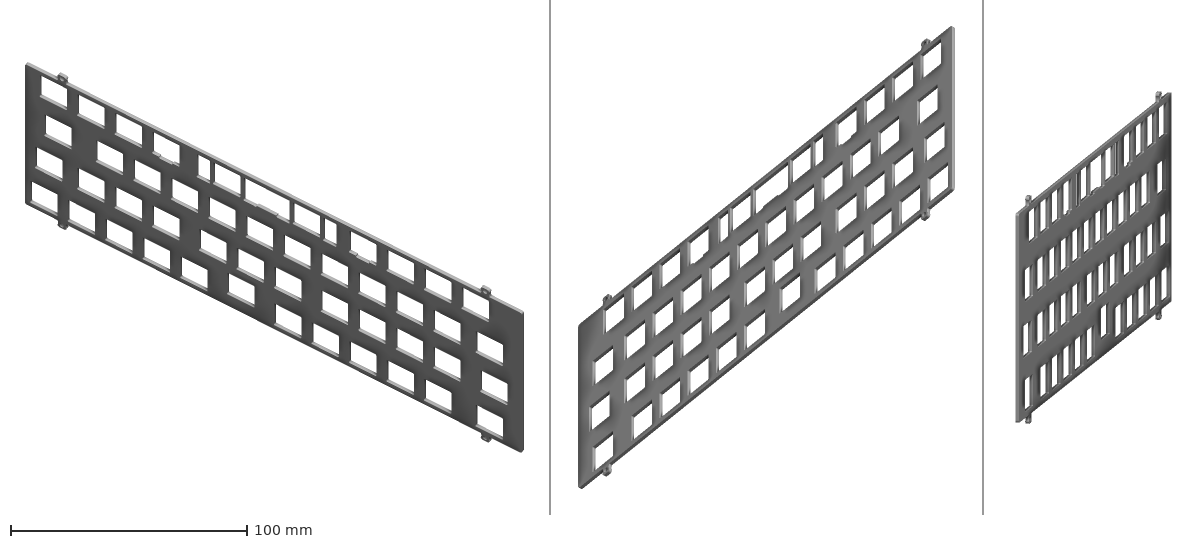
import cadquery as cq

plate_length = 252.5
overall_height = 98.5
thickness = 1.6
plate_corner_radius = 1.0

units_long = 13.25
units_high = 4.75
key_unit = plate_length / units_long
plate_height = units_high * key_unit

rib_width = 5.0
switch_size = key_unit - rib_width
switch_corner_radius = 0.5
stabilizer_width = 6.8
stabilizer_height = 15.0
stabilizer_corner_radius = 0.5

tab_height = (overall_height - plate_height) / 2
tab_width = 4.5
tab_waist_width = 3.8
tab_corner_radius = 1.3
tab_hole_diameter = 2.2
tab_hole_offset = 2.0
tab_overlap = 0.5
tab_inset = 18.7

top_row = 1.875
upper_row = 0.625
lower_row = -0.625
bottom_row = -1.875
raised_key_lift = 0.25
left_space_key = 5.375
long_space_key = 6.375
right_space_key = 7.5

row_keys = {
    top_row: [0.75, 1.75, 2.75, 3.75, 9, 10, 11, 12] + [left_space_key, long_space_key, right_space_key],
    upper_row: [0.875] + [2.25 + i for i in range(10)] + [12.375],
    lower_row: [0.625, 1.75, 2.75, 3.75, 5, 6, 7, 8.25, 9.25, 10.25, 11.25, 12.5],
    bottom_row: [0.5, 1.5, 2.5, 3.5, 4.5, 7, 8, 9, 10, 11, 12.375],
    bottom_row + raised_key_lift: [5.75],
}

short_bar_reach = 11.9
long_bar_reach = 2.625 * key_unit
stabilized_keys = [
    (left_space_key, short_bar_reach),
    (long_space_key, long_bar_reach),
    (right_space_key, short_bar_reach),
]


def grid_point(column, row):
    """Turn a key position in key units into plate coordinates."""
    return ((column - units_long / 2) * key_unit, row * key_unit)


def rounded_block(width, height, radius, centers):
    """Full-thickness blocks with rounded corners, centred on the given points."""
    return (
        cq.Workplane("XZ")
        .pushPoints(centers)
        .rect(width, height)
        .extrude(thickness / 2, both=True)
        .edges("|Y")
        .fillet(radius)
    )


def make_tab(x, side):
    """Perforated mounting tab on the top (side = 1) or bottom (side = -1) edge."""
    half = tab_width / 2
    half_waist = tab_waist_width / 2
    half_flat = half - tab_corner_radius
    root = plate_height / 2
    tip = root + tab_height
    shoulder = tip - tab_corner_radius
    waist = (root + shoulder) / 2
    outline = (
        cq.Workplane("XZ")
        .moveTo(-half, root - tab_overlap)
        .lineTo(-half, root)
        .threePointArc((-half_waist, waist), (-half, shoulder))
        .radiusArc((-half_flat, tip), tab_corner_radius)
        .lineTo(half_flat, tip)
        .radiusArc((half, shoulder), tab_corner_radius)
        .threePointArc((half_waist, waist), (half, root))
        .lineTo(half, root - tab_overlap)
        .close()
        .extrude(thickness / 2, both=True)
    )
    hole = (
        cq.Workplane("XZ")
        .center(0, root + tab_hole_offset)
        .circle(tab_hole_diameter / 2)
        .extrude(thickness, both=True)
    )
    tab = outline.cut(hole)
    if side < 0:
        tab = tab.mirror("XY")
    return tab.translate((x, 0, 0))


result = rounded_block(plate_length, plate_height, plate_corner_radius, [(0, 0)])

for side in (-1, 1):
    for end in (-1, 1):
        result = result.union(make_tab(end * (plate_length / 2 - tab_inset), side))

switch_centers = [grid_point(column, row) for row, columns in row_keys.items() for column in columns]
result = result.cut(rounded_block(switch_size, switch_size, switch_corner_radius, switch_centers))

slot_z = top_row * key_unit + switch_size / 2 - stabilizer_height / 2
for column, reach in stabilized_keys:
    key_x, _ = grid_point(column, top_row)
    for slot_x in (key_x - reach, key_x + reach):
        slot = rounded_block(
            stabilizer_width, stabilizer_height, stabilizer_corner_radius, [(slot_x, slot_z)]
        )
        result = result.cut(slot)